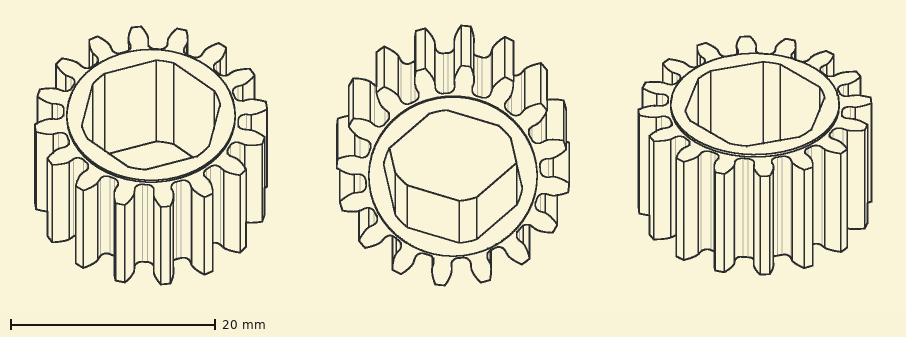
import cadquery as cq
import math


INCH = 25.4
TOOTH_COUNT = 16
DIAMETRAL_PITCH = 20
PRESSURE_ANGLE = math.radians(14.5)
MODULE = INCH / DIAMETRAL_PITCH
PITCH_RADIUS = MODULE * TOOTH_COUNT / 2
BASE_RADIUS = PITCH_RADIUS * math.cos(PRESSURE_ANGLE)
TIP_RADIUS = PITCH_RADIUS + MODULE
DEDENDUM_FACTOR = 1.25
ROOT_RADIUS = PITCH_RADIUS - DEDENDUM_FACTOR * MODULE
FLANK_BACKLASH = 0.043
ROOT_FILLET_RADIUS = 0.7
FLANK_POINTS = 7
CUTTER_CLEARANCE = 1.0
CUTTER_RADIUS = TIP_RADIUS + CUTTER_CLEARANCE

FACE_WIDTH = 12.065
OVERALL_WIDTH = 12.65

HUB_DIAMETER = 16.51
HEX_ACROSS_FLATS = 12.75
HEX_CORNER_DIAMETER = 13.82


def involute(angle):
    """Involute function of a pressure angle."""
    return math.tan(angle) - angle


def gap_half_angle(radius):
    """Angle from the middle of a tooth gap to its involute flank at a radius."""
    half_pitch_angle = math.pi / (2 * TOOTH_COUNT)
    local_pressure_angle = math.acos(BASE_RADIUS / radius)
    return (
        half_pitch_angle
        + FLANK_BACKLASH / PITCH_RADIUS
        - involute(PRESSURE_ANGLE)
        + involute(local_pressure_angle)
    )


def gap_point(radius, flank_radius, side):
    """Point at a radius, in line with the flank at flank_radius; side is +1 or -1 in X."""
    angle = gap_half_angle(flank_radius)
    return (side * radius * math.sin(angle), radius * math.cos(angle))


def involute_flank(side):
    """Flank points from the base circle out to the tip circle."""
    step = (TIP_RADIUS - BASE_RADIUS) / (FLANK_POINTS - 1)
    radii = [BASE_RADIUS + step * i for i in range(FLANK_POINTS)]
    return [gap_point(radius, radius, side) for radius in radii]


def tooth_gap():
    """Cutter for the gap on +Y: root-circle floor, filleted roots, straight walls, involute flanks."""
    right_flank = involute_flank(1)
    left_flank = involute_flank(-1)
    wall_x = right_flank[0][0]
    center_x = wall_x - ROOT_FILLET_RADIUS
    center_angle = math.asin(center_x / (ROOT_RADIUS + ROOT_FILLET_RADIUS))
    center_y = center_x / math.tan(center_angle)
    floor_x = ROOT_RADIUS * math.sin(center_angle)
    floor_y = ROOT_RADIUS * math.cos(center_angle)
    mid_angle = (math.pi / 2 + center_angle) / 2
    fillet_mid_x = center_x + ROOT_FILLET_RADIUS * math.cos(mid_angle)
    fillet_mid_y = center_y - ROOT_FILLET_RADIUS * math.sin(mid_angle)
    return (
        cq.Workplane("XY")
        .workplane(offset=-FACE_WIDTH / 2)
        .moveTo(-floor_x, floor_y)
        .threePointArc((0, ROOT_RADIUS), (floor_x, floor_y))
        .threePointArc((fillet_mid_x, fillet_mid_y), (wall_x, center_y))
        .lineTo(*right_flank[0])
        .spline(right_flank[1:], includeCurrent=True)
        .lineTo(*gap_point(CUTTER_RADIUS, TIP_RADIUS, 1))
        .lineTo(*gap_point(CUTTER_RADIUS, TIP_RADIUS, -1))
        .lineTo(*left_flank[-1])
        .spline(left_flank[-2::-1], includeCurrent=True)
        .lineTo(-wall_x, center_y)
        .threePointArc((-fillet_mid_x, fillet_mid_y), (-floor_x, floor_y))
        .close()
        .extrude(FACE_WIDTH)
    )


def toothed_rim():
    """Solid disc with the tooth gaps cut around it."""
    rim = cq.Workplane("XY").circle(TIP_RADIUS).extrude(FACE_WIDTH / 2, both=True)
    gap = tooth_gap()
    for i in range(TOOTH_COUNT):
        rim = rim.cut(gap.rotate((0, 0, 0), (0, 0, 1), i * 360 / TOOTH_COUNT))
    return rim


def hub():
    """Cylinder standing slightly proud of both gear faces."""
    return cq.Workplane("XY").circle(HUB_DIAMETER / 2).extrude(OVERALL_WIDTH / 2, both=True)


def hex_bore():
    """Hexagon with flats facing +X and -X, its corners rounded by a circle about the axis."""
    across_corners = HEX_ACROSS_FLATS / math.cos(math.pi / 6)
    hexagon = (
        cq.Workplane("XY")
        .polygon(6, across_corners)
        .extrude(OVERALL_WIDTH / 2, both=True)
        .rotate((0, 0, 0), (0, 0, 1), 30)
    )
    corner_circle = (
        cq.Workplane("XY")
        .circle(HEX_CORNER_DIAMETER / 2)
        .extrude(OVERALL_WIDTH / 2, both=True)
    )
    return hexagon.intersect(corner_circle)


result = toothed_rim().union(hub()).cut(hex_bore())